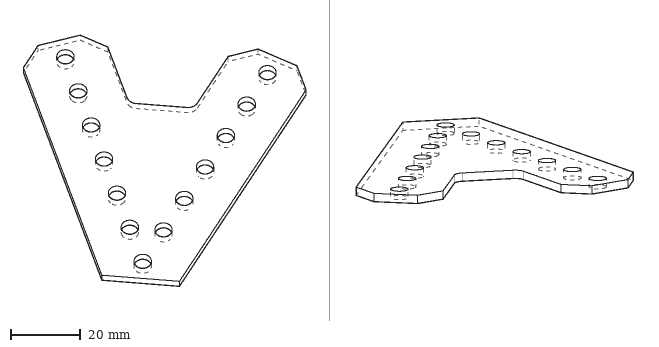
import cadquery as cq
import math

overall_length = 92.2
thickness = 2.5
arm_width = 25.4
arm_angle = 45.0
hole_diameter = 5.0
hole_row_length = 76.2
holes_per_arm = 7
back_margin = 6.1
web_distance = 55.8
web_fillet = 2.95

half_width = arm_width / 2
corner_cut = arm_width / 4
hole_pitch = hole_row_length / (holes_per_arm - 1)
half_angle = math.radians(arm_angle / 2)
bisector_angle = math.pi - half_angle


def mirrored(point):
    """Reflect a point of the -X arm across the bisector onto the other arm."""
    x, y = point
    cos_double = math.cos(2 * bisector_angle)
    sin_double = math.sin(2 * bisector_angle)
    return (x * cos_double + y * sin_double, x * sin_double - y * cos_double)


def arm_edge_point(y, bisector_distance):
    """Point at height y where a line square to the bisector crosses an arm edge."""
    x = (bisector_distance - y * math.sin(half_angle)) / -math.cos(half_angle)
    return (x, y)


back_corner = arm_edge_point(-half_width, -back_margin)
web_corner = arm_edge_point(half_width, web_distance)

arm_end = mirrored(back_corner)[0] - overall_length

arm_outline = [
    back_corner,
    (arm_end + corner_cut, -half_width),
    (arm_end, -half_width + corner_cut),
    (arm_end, half_width - corner_cut),
    (arm_end + corner_cut, half_width),
    web_corner,
]
outline = arm_outline + [mirrored(point) for point in reversed(arm_outline)]

arm_holes = [(-i * hole_pitch, 0) for i in range(holes_per_arm)]
holes = arm_holes + [mirrored(point) for point in arm_holes[1:]]

plate = cq.Workplane("XY").polyline(outline).close().extrude(thickness)

for x, y in (web_corner, mirrored(web_corner)):
    corner_edge = cq.selectors.NearestToPointSelector((x, y, thickness / 2))
    plate = plate.edges("|Z").edges(corner_edge).fillet(web_fillet)

result = plate.faces(">Z").workplane(origin=(0, 0, thickness)).pushPoints(holes).hole(hole_diameter)